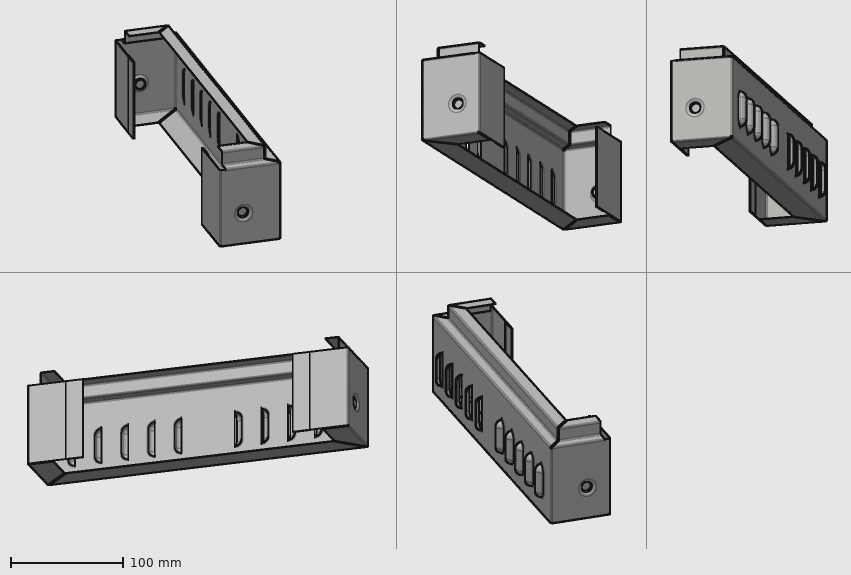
import cadquery as cq
import math

thickness = 0.75
bend_outer = 1.5
bend_inner = bend_outer - thickness
miter_gap = 1.5

length = 302.0
depth = 57.5
wall_height = 75.8
total_height = 88.5
half_length = length / 2

ledge_width = 10.5
top_reach = 23.5
bottom_reach = 24.2
top_flange_setback = 5.7

flap_length = 52.2
flap_clearance = thickness
hem_length = 16.0

louver_count = 5
louver_pitch = 25.0
louver_z = 32.5
louver_straight = 20.0
louver_radius = 6.5
louver_mouth_radius = 2.0

dimple_y = 22.3
dimple_z = 30.5
dimple_mouth_radius = 8.5
dimple_throat_radius = 4.98
dimple_floor_radius = 4.2
dimple_flare_depth = 1.65
dimple_depth = 3.5


def box_between(low, high):
    """Axis-aligned box from its two opposite corners."""
    size = [b - a for a, b in zip(low, high)]
    return cq.Workplane("XY").box(*size, centered=False).translate(low)


def round_vertical_bend(sheet, outer_corner, inner_corner):
    """Round both faces of a vertical bend, given its sharp corners in plan."""
    for (x, y), radius in ((outer_corner, bend_outer), (inner_corner, bend_inner)):
        edge = sheet.edges("|Z").edges(cq.selectors.NearestToPointSelector((x, y, wall_height / 2)))
        sheet = edge.fillet(radius)
    return sheet


def make_wall_band():
    """Back wall, side walls and hemmed front flaps, bent from one strip."""
    inner_x = half_length - thickness
    flap_end = half_length - flap_length
    band_bottom = flap_clearance
    band_height = wall_height - 2 * flap_clearance
    hem_start = flap_end + hem_length
    half = (
        cq.Workplane("XY")
        .workplane(offset=band_bottom)
        .moveTo(0, depth)
        .lineTo(half_length, depth)
        .lineTo(half_length, 0)
        .lineTo(flap_end, 0)
        .lineTo(flap_end, 2 * thickness)
        .lineTo(hem_start, 2 * thickness)
        .lineTo(hem_start, thickness)
        .lineTo(inner_x, thickness)
        .lineTo(inner_x, depth - thickness)
        .lineTo(0, depth - thickness)
        .close()
        .extrude(band_height)
    )
    half = round_vertical_bend(half, (half_length, depth), (inner_x, depth - thickness))
    half = round_vertical_bend(half, (half_length, 0), (inner_x, thickness))

    bottom_bend = box_between((0, bend_outer, 0), (half_length, depth, bend_outer))
    top_bend = box_between((0, top_flange_setback, wall_height - bend_outer), (half_length, depth, wall_height))
    half = half.cut(bottom_bend).cut(top_bend)
    return half.union(half.mirror("YZ"))


def flange_section(plane, run):
    """Bent wall section with bottom flange, top ledge, riser and upper flange.

    Local X is the distance inwards from the outer wall face, local Y is Z.
    """
    t = thickness
    outer = [
        (0, 0),
        (0, wall_height),
        (ledge_width, wall_height),
        (ledge_width, total_height),
    ]
    inner = [
        (t, t),
        (t, wall_height - t),
        (ledge_width + t, wall_height - t),
        (ledge_width + t, total_height - t),
    ]
    outline = [(bottom_reach, 0)] + outer + [(top_reach, total_height), (top_reach, total_height - t)]
    outline += inner[::-1] + [(bottom_reach, t)]
    section = cq.Sketch().polygon(outline + outline[:1])

    reversed_bend = 2
    for index, (outer_corner, inner_corner) in enumerate(zip(outer, inner)):
        radii = (bend_outer, bend_inner)
        if index == reversed_bend:
            radii = (bend_inner, bend_outer)
        for corner, radius in zip((outer_corner, inner_corner), radii):
            nearest = cq.selectors.NearestToPointSelector((*corner, 0))
            section = section.reset().vertices(nearest).fillet(radius)
    return cq.Workplane(plane).placeSketch(section.reset()).extrude(run)


def make_back_section():
    """Back flanges, mitered at both ends."""
    plane = cq.Plane(origin=(half_length, depth, 0), xDir=(0, -1, 0), normal=(-1, 0, 0))
    section = flange_section(plane, length)
    inset = miter_gap / math.sqrt(2)
    outer_x = half_length - inset
    plan = [
        (-outer_x, depth),
        (outer_x, depth),
        (outer_x - bottom_reach, depth - bottom_reach),
        (bottom_reach - outer_x, depth - bottom_reach),
    ]
    return section.intersect(cq.Workplane("XY").polyline(plan).close().extrude(total_height))


def make_right_section():
    """Flanges of the +X side, mitered at the back and set back at the front."""
    plane = cq.Plane(origin=(half_length, bend_outer, 0), xDir=(-1, 0, 0), normal=(0, 1, 0))
    section = flange_section(plane, depth - bend_outer)
    inset = miter_gap / math.sqrt(2)
    inner_x = half_length - bottom_reach
    plan = [
        (half_length, 0),
        (half_length, depth - inset),
        (inner_x, depth - inset - bottom_reach),
        (inner_x, 0),
    ]
    section = section.intersect(cq.Workplane("XY").polyline(plan).close().extrude(total_height))
    front_relief = box_between(
        (inner_x, 0, wall_height - bend_outer),
        (half_length, top_flange_setback, total_height),
    )
    return section.cut(front_relief)


def clear_back_corners(sections):
    """Keep the flange sections off the rounded vertical bends of the wall band."""
    for x in (half_length - bend_outer, -half_length):
        corner = box_between(
            (x, depth - bend_outer, 0),
            (x + bend_outer, depth, total_height),
        )
        sections = sections.cut(corner)
    return sections


def louver_solid(draw_profile):
    """Half capsule from a quarter profile, bulging to +Y with its open face at X = 0.

    The profile lies in XY, with X the distance from the open face.
    """
    half_straight = louver_straight / 2
    middle = draw_profile().extrude(half_straight, both=True)
    end = draw_profile().revolve(90, (0, 0, 0), (0, -1, 0)).translate((0, 0, half_straight))
    return middle.union(end).union(end.mirror("XY"))


def louver_shell_profile():
    """Quarter round of the louver's outer face."""
    diagonal = louver_radius / math.sqrt(2)
    return (
        cq.Workplane("XY")
        .lineTo(louver_radius, 0)
        .threePointArc((diagonal, diagonal), (0, louver_radius))
        .close()
    )


def louver_cavity_profile():
    """Quarter round whose mouth flares tangentially into the inner wall face."""
    cavity = louver_radius - thickness
    mouth = louver_mouth_radius
    mouth_x = math.sqrt(cavity**2 + 2 * cavity * mouth)
    join_angle = math.atan2(mouth, mouth_x)
    flare_angle = math.pi + (join_angle + math.pi / 2) / 2
    flare_middle = (mouth_x + mouth * math.cos(flare_angle), mouth + mouth * math.sin(flare_angle))
    join = (cavity * math.cos(join_angle), cavity * math.sin(join_angle))
    upper_angle = (join_angle + math.pi / 2) / 2
    upper_middle = (cavity * math.cos(upper_angle), cavity * math.sin(upper_angle))
    return (
        cq.Workplane("XY")
        .lineTo(mouth_x, 0)
        .threePointArc(flare_middle, join)
        .threePointArc(upper_middle, (0, cavity))
        .close()
    )


def add_louvers(body):
    """Louvers on both halves, with their openings facing the middle."""
    shell = louver_solid(louver_shell_profile)
    cavity = louver_solid(louver_cavity_profile)
    for index in range(1, louver_count + 1):
        place = (index * louver_pitch, depth - thickness, louver_z)
        right_shell = shell.translate(place)
        right_cavity = cavity.translate(place)
        body = body.union(right_shell).union(right_shell.mirror("YZ"))
        body = body.cut(right_cavity).cut(right_cavity.mirror("YZ"))
    return body


def dimple_tool(offset):
    """Flared plug along +X from the outer face; offset grows it by the sheet thickness."""
    mouth = dimple_mouth_radius
    throat = dimple_throat_radius + offset
    floor = dimple_floor_radius + offset
    flare_depth = dimple_flare_depth
    flare_run = mouth - throat
    flare_radius = (flare_run**2 + flare_depth**2) / (2 * flare_depth)
    half_sweep = math.asin(flare_run / flare_radius) / 2
    flare_middle = (
        offset + flare_radius * (1 - math.cos(half_sweep)),
        mouth - flare_radius * math.sin(half_sweep),
    )
    return (
        cq.Workplane("XY")
        .moveTo(offset, 0)
        .lineTo(offset, mouth)
        .threePointArc(flare_middle, (offset + flare_depth, throat))
        .lineTo(dimple_depth + offset, floor)
        .lineTo(dimple_depth + offset, 0)
        .close()
        .revolve(360, (0, 0, 0), (1, 0, 0))
        .translate((-half_length, dimple_y, dimple_z))
    )


def add_dimples(body):
    """Matching dimples in both side walls, raised on the inside."""
    boss = dimple_tool(thickness)
    hollow = dimple_tool(0)
    for tool in (boss, boss.mirror("YZ")):
        body = body.union(tool)
    for tool in (hollow, hollow.mirror("YZ")):
        body = body.cut(tool)
    return body


right_section = make_right_section()
sections = make_back_section().union(right_section).union(right_section.mirror("YZ"))
body = make_wall_band().union(clear_back_corners(sections))
body = add_louvers(body)
result = add_dimples(body)